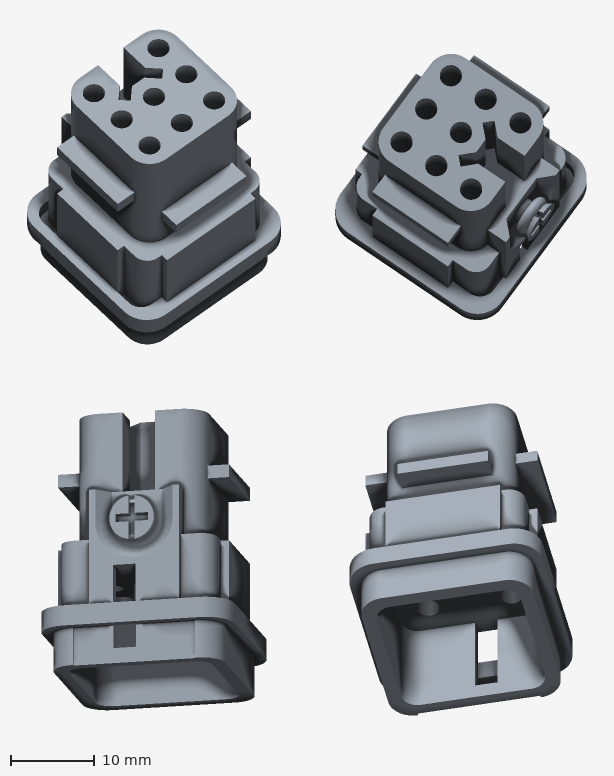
import cadquery as cq
import math

flange_bottom = 4.6
flange_top = 7.1
shell_top = 15.65
block_top = 21.55
tower_top = 31.6

flange_half = 11.75
flange_corner = 3.5
base_half = 10.5
corner = 3.0
shell_half = 9.5
shell_corner = 2.0
tower_half = 7.9
rib_half_width = 5.53
wide_rib_half_width = 6.98

base_recess_depth = 0.3

rail_height = 1.58
side_rail_bottom = 23.45
end_rail_bottom = 19.88

groove_depth = 2.02
groove_fillet = 1.0
groove_left = -10.1
groove_front = -base_half

contact_pitch = 5.1
contact_diameter = 2.65
cavity_half = 8.8
cavity_top = 12.07
tube_radius = 2.45
tube_bottom = 10.18

channel_half_width = 2.0
channel_end = -2.9
pocket_length = 2.15
pocket_width = 1.45
pocket_step = 0.5
pocket_step_depth = 0.47
pocket_depth = 0.95

slot_y_min = -0.2
slot_y_max = 2.6
slot_bottom = 1.85
slot_top = 12.07

screw_height = 17.5
seat_height = 17.6
seat_outer_radius = 4.75
seat_depth = 1.65
seat_inner_radius = seat_outer_radius - seat_depth
seat_floor = -base_half + seat_depth
shaft_radius = 1.5
shaft_end = -5.05
head_radius = 2.55
head_front = -11.05
head_back = -9.67
crown_front = -flange_half
crown_radius = 2.72
neck_radius = 2.2
driver_slot_width = 0.8
cross_width = 0.98
cross_half_length = 2.0
cross_end_round = 0.47
cross_floor = head_front + cross_end_round


def block(x_min, x_max, y_min, y_max, z_min, z_max):
    """Box given by its limits along each axis."""
    size = (x_max - x_min, y_max - y_min, z_max - z_min)
    return cq.Workplane("XY").box(*size, centered=False).translate((x_min, y_min, z_min))


def rounded_prism(half, radius, z_min, z_max):
    """Square prism centred on the Z axis with rounded vertical edges."""
    return block(-half, half, -half, half, z_min, z_max).edges("|Z").fillet(radius)


def x_cylinder(radius, x_min, x_max):
    """Cylinder on the screw axis."""
    plane = cq.Workplane("YZ", origin=(x_min, 0, screw_height))
    return plane.circle(radius).extrude(x_max - x_min)


def base_recess():
    """Shallow relief of the flat part of the base's -X face, below the flange."""
    half_width = base_half - corner
    return block(-base_half, -base_half + base_recess_depth, -half_width, half_width, 0, flange_bottom)


def flange_groove():
    """Groove beside the shell: wide on -X and -Y, fading out on +X and +Y, with a concave inner wall."""
    floor = flange_top - groove_depth
    pocket = block(groove_left, shell_half, groove_front, shell_half, floor, flange_top)
    pocket = pocket.edges("|Z").fillet(shell_corner)
    surround_top = flange_top + groove_depth
    surround = rounded_prism(2 * flange_half, shell_corner, floor, surround_top)
    foot = rounded_prism(shell_half, shell_corner, floor, surround_top)
    inner_edges = cq.selectors.BoxSelector(
        (-base_half, -base_half, floor - 0.32), (base_half, base_half, floor + 0.32), boundingbox=True
    )
    surround = surround.cut(foot).edges(inner_edges).fillet(groove_fillet)
    return pocket.intersect(surround)


def add_ribs_and_rails(body):
    """Ribs on the shell, the screw block on -X and the latch rails on the tower."""
    body = body.union(block(-base_half, 0, -rib_half_width, rib_half_width, flange_bottom, block_top))
    body = body.union(block(-rib_half_width, rib_half_width, -base_half, base_half, flange_bottom, shell_top))
    body = body.union(
        block(0, base_half, -wide_rib_half_width, wide_rib_half_width, flange_bottom, shell_top)
    )
    body = body.union(
        block(-rib_half_width, rib_half_width, -base_half, base_half,
              side_rail_bottom, side_rail_bottom + rail_height)
    )
    return body.union(
        block(0, base_half, -rib_half_width, rib_half_width,
              end_rail_bottom, end_rail_bottom + rail_height)
    )


def key_channel():
    """Channel down to the screw block, with a stepped pocket turned 45 degrees at each inner corner."""
    channel = block(-tower_half, channel_end, -channel_half_width, channel_half_width, block_top, tower_top)
    corner_cut = pocket_width / math.sqrt(2)
    for side in (-1, 1):
        corner_fill = (
            cq.Workplane("XY", origin=(0, 0, block_top))
            .moveTo(channel_end, side * channel_half_width)
            .lineTo(channel_end - corner_cut, side * channel_half_width)
            .lineTo(channel_end, side * (channel_half_width - corner_cut))
            .close()
            .extrude(tower_top - block_top)
        )
        entry = block(0, pocket_length, -pocket_width / 2, pocket_width / 2,
                      block_top - pocket_step_depth, tower_top)
        well = block(pocket_step, pocket_length, -pocket_width / 2, pocket_width / 2,
                     block_top - pocket_depth, tower_top)
        mouth = (channel_end - corner_cut / 2, side * (channel_half_width - corner_cut / 2), 0)
        pocket = entry.union(well).rotate((0, 0, 0), (0, 0, 1), side * 45).translate(mouth)
        channel = channel.cut(corner_fill).union(pocket)
    return channel


def contact_holes():
    """Vertical holes on a 3 x 3 grid, without the one in the key channel."""
    places = [
        (column * contact_pitch, row * contact_pitch)
        for column in (-1, 0, 1)
        for row in (-1, 0, 1)
        if (column, row) != (-1, 0)
    ]
    return cq.Workplane("XY").pushPoints(places).circle(contact_diameter / 2).extrude(tower_top)


def wiring_cavity():
    """Space open at the bottom, with a tube around the central contact hanging from its ceiling."""
    cavity = rounded_prism(cavity_half, shell_corner, 0, cavity_top)
    tube = cq.Workplane("XY", origin=(0, 0, tube_bottom)).circle(tube_radius).extrude(cavity_top - tube_bottom)
    return cavity.cut(tube)


def wall_slot():
    """Slot through the -X wall above and below the flange, passing behind the flange rim."""
    return block(-base_half, -cavity_half, slot_y_min, slot_y_max, slot_bottom, slot_top)


def screw_seat():
    """U-shaped seat with sloping sides, open at the top of the screw block."""
    cone = (
        cq.Workplane("YZ", origin=(-base_half, 0, seat_height))
        .circle(seat_outer_radius)
        .workplane(offset=seat_depth)
        .circle(seat_inner_radius)
        .loft(combine=True)
    )
    opening = (
        cq.Workplane("XY", origin=(0, 0, seat_height))
        .moveTo(-base_half, -seat_outer_radius)
        .lineTo(seat_floor, -seat_inner_radius)
        .lineTo(seat_floor, seat_inner_radius)
        .lineTo(-base_half, seat_outer_radius)
        .close()
        .extrude(block_top - seat_height)
    )
    return cone.union(opening)


def make_housing():
    body = rounded_prism(base_half, corner, 0, flange_top)
    body = body.cut(base_recess())
    body = body.union(rounded_prism(flange_half, flange_corner, flange_bottom, flange_top))
    body = body.union(rounded_prism(shell_half, shell_corner, flange_bottom, shell_top))
    body = body.cut(flange_groove())
    body = body.union(rounded_prism(tower_half, corner, flange_bottom, tower_top))
    body = add_ribs_and_rails(body)
    body = body.cut(wiring_cavity())
    body = body.cut(contact_holes())
    body = body.cut(key_channel())
    body = body.cut(wall_slot())
    body = body.cut(screw_seat())
    return body.cut(x_cylinder(shaft_radius, seat_floor, shaft_end))


def screw_head():
    """Disc with a half-round rim."""
    rim_radius = (head_back - head_front) / 2
    face_radius = head_radius - rim_radius
    return (
        cq.Workplane("XY")
        .moveTo(head_front, 0)
        .lineTo(head_front, face_radius)
        .threePointArc((head_front + rim_radius, head_radius), (head_back, face_radius))
        .lineTo(head_back, 0)
        .close()
        .revolve(360, (0, 0, 0), (1, 0, 0))
        .translate((0, 0, screw_height))
    )


def screw_crown():
    """Flared crown in front of the head, split by an upright slot as deep as the crown."""
    crown = (
        cq.Workplane("YZ", origin=(crown_front, 0, screw_height))
        .circle(crown_radius)
        .workplane(offset=head_front - crown_front)
        .circle(neck_radius)
        .loft(combine=True)
    )
    slot = block(crown_front, head_front, -driver_slot_width / 2, driver_slot_width / 2,
                 screw_height - crown_radius, screw_height + crown_radius)
    return crown.cut(slot)


def cross_recess():
    """Cross-shaped recess whose floor curves up at the end of each arm."""
    level = block(crown_front, cross_floor, -cross_half_length, cross_half_length,
                  screw_height - cross_width / 2, screw_height + cross_width / 2)
    level = level.faces(">X").edges("|Z").fillet(cross_end_round)
    upright = block(crown_front, cross_floor, -driver_slot_width / 2, driver_slot_width / 2,
                    screw_height - cross_half_length, screw_height + cross_half_length)
    upright = upright.faces(">X").edges("|Y").fillet(cross_end_round)
    return level.union(upright)


def make_screw():
    shaft = x_cylinder(shaft_radius, head_back, shaft_end)
    return screw_head().union(screw_crown()).union(shaft).cut(cross_recess())


housing = make_housing()
screw = make_screw()
result = cq.Compound.makeCompound([housing.val(), screw.val()])